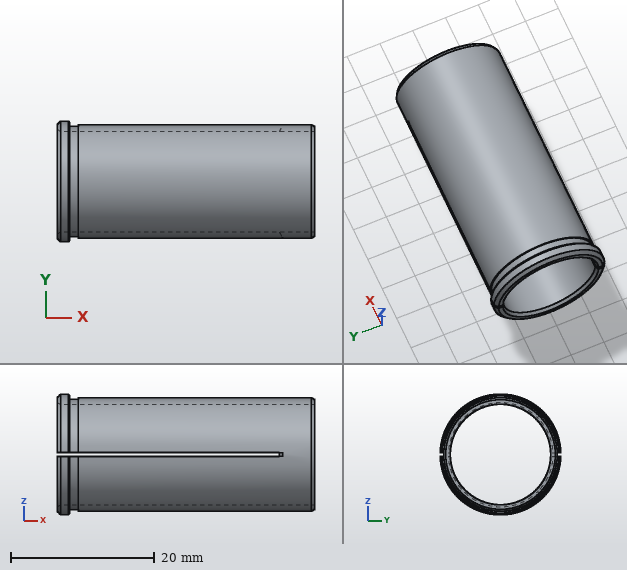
import cadquery as cq
import math

length = 36.0
body_radius = 15.88 / 2
bore_radius = 14.0 / 2

collar_radius = 16.9 / 2
collar_width = 1.8
collar_front_chamfer = 0.5
collar_back_chamfer = 0.25
groove_radius = 15.48 / 2
groove_end = 3.0

tail_chamfer_length = 0.5
tail_chamfer_depth = 0.3
mouth_chamfer_length = 0.5
mouth_chamfer_depth = 0.3

slot_width = 0.5
slot_outer_end = 31.5
saw_radius = 10.8
saw_offset = 12.6


def make_sleeve():
    """Revolve the wall section about the X axis."""
    section = [
        (0, bore_radius + mouth_chamfer_depth),
        (0, collar_radius - collar_front_chamfer),
        (collar_front_chamfer, collar_radius),
        (collar_width - collar_back_chamfer, collar_radius),
        (collar_width, collar_radius - collar_back_chamfer),
        (collar_width, groove_radius),
        (groove_end, groove_radius),
        (groove_end, body_radius),
        (length - tail_chamfer_length, body_radius),
        (length, body_radius - tail_chamfer_depth),
        (length, bore_radius),
        (mouth_chamfer_length, bore_radius),
    ]
    return cq.Workplane("XY").polyline(section).close().revolve(360, (0, 0, 0), (1, 0, 0))


def make_slot(side):
    """Saw path through the wall on the given side of Y (+1 or -1)."""
    saw_reach = math.sqrt(saw_radius**2 - (saw_offset - body_radius) ** 2)
    saw_stop = slot_outer_end - saw_reach
    saw_path = (
        cq.Workplane("XY")
        .moveTo(-saw_radius, side * (saw_offset - saw_radius))
        .lineTo(saw_stop, side * (saw_offset - saw_radius))
        .radiusArc((saw_stop + saw_radius, side * saw_offset), -side * saw_radius)
        .lineTo(-saw_radius, side * saw_offset)
        .close()
    )
    return saw_path.extrude(slot_width / 2, both=True)


result = make_sleeve()
for side in (1, -1):
    result = result.cut(make_slot(side))